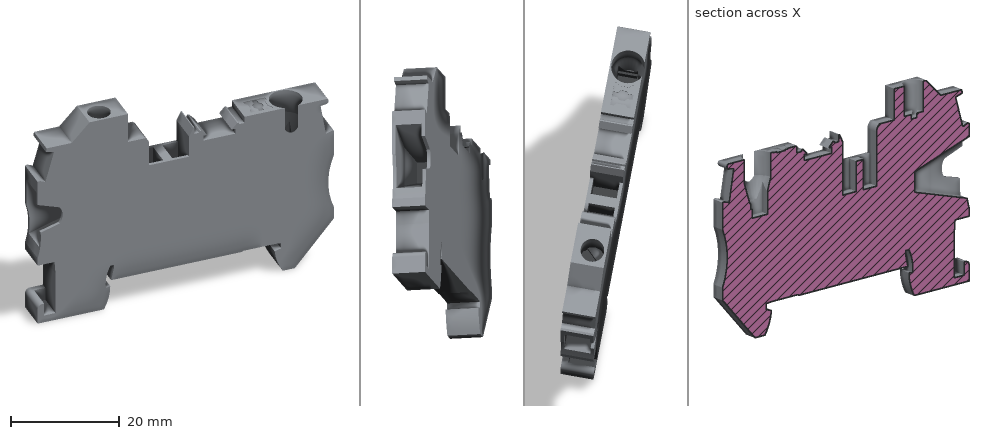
import cadquery as cq

width = 6.2
length = 58.8
height = 41.3
front = -length / 2
back = length / 2

rear_top = 35.2
lip_top = 37.65
trough_floor = 29.15
rail_face = 6.0
hook_top = 33.85
hook_tip = 34.2
hook_underside = 33.05
marker_floor = 32.0

foot_top = 4.05
foot_wall = -25.9
foot_lip_radius = 0.95
foot_lip_thickness = 1.3
foot_groove_start = 1.25
foot_groove_floor = 1.45

trough_front = -7.3
trough_back = 0.65

wall = 0.65

screw_x = 3.5
screw_y = -16.15
screw_diameter = 4.35
screw_depth = 5.9
screw_slot_width = 0.8
screw_slot_depth = 0.9
screw_slot_angle = -45

shaft_x = 3.35
shaft_y = 21.0
shaft_radius = 3.1
shaft_bore_depth = 4.7
shaft_cone_depth = 4.1
shaft_cone_end_radius = 1.8
socket_x = (1.25, 4.95)
socket_y = (18.7, 22.15)
socket_depth = 11.75
socket_ledge_width = 0.4
socket_ledge_depth = 10.0

recess_x = 3.35
recess_y = 15.45
recess_half_width = 1.95
recess_depth = 0.1
recess_core_depth = 0.3

bridge_pocket_length = 3.05
bridge_pocket_depth = 5.9

funnel_bottom = 16.1
funnel_top = 28.1
funnel_depth = 12.95
funnel_straight_depth = 7.65
funnel_end_bottom = 20.1
funnel_end_top = 24.05
funnel_end_x = (1.95, 5.05)

notch_bottom = 19.45
notch_top = 25.75
notch_inner_bottom = 20.7
notch_inner_top = 24.2
notch_depth = 4.35
notch_round_depth = 0.6


def box(x_range, y_range, z_range):
    """Box spanning the given ranges."""
    size = [high - low for low, high in (x_range, y_range, z_range)]
    corner = (x_range[0], y_range[0], z_range[0])
    return cq.Workplane("XY").box(*size, centered=False).translate(corner)


def housing():
    """Side outline of the terminal, extruded over the full width."""
    outline = (
        cq.Workplane("YZ")
        .moveTo(21.65, 0)
        .lineTo(back, 9.0)
        .lineTo(back, 11.45)
        .threePointArc((28.3, 17.15), (back, 22.7))
        .lineTo(back, 28.0)
        .lineTo(29.0, 28.1)
        .lineTo(27.8, 27.7)
        .lineTo(26.75, 34.0)
        .lineTo(28.05, 34.15)
        .threePointArc((28.35, 34.6), (28.1, rear_top))
        .lineTo(11.65, rear_top)
        .lineTo(11.65, hook_top)
        .lineTo(10.65, hook_top)
        .lineTo(10.45, hook_tip)
        .lineTo(10.25, hook_tip)
        .lineTo(9.1, hook_underside)
        .lineTo(9.8, hook_underside)
        .lineTo(9.8, marker_floor)
        .lineTo(3.45, marker_floor)
        .lineTo(3.45, hook_underside)
        .lineTo(4.2, hook_underside)
        .lineTo(3.05, hook_tip)
        .lineTo(2.8, hook_tip)
        .lineTo(2.6, hook_top)
        .lineTo(1.7, hook_top)
        .lineTo(1.7, rear_top)
        .lineTo(1.5, rear_top)
        .lineTo(trough_back, 33.5)
        .lineTo(trough_back, trough_floor)
        .lineTo(trough_front, trough_floor)
        .lineTo(trough_front, 33.65)
        .threePointArc((-7.45, 34.6), (-8.05, rear_top))
        .lineTo(-11.45, rear_top)
        .lineTo(-11.45, height)
        .lineTo(-19.1, height)
        .lineTo(-22.65, lip_top)
        .lineTo(-27.65, lip_top)
        .lineTo(-27.75, 36.85)
        .lineTo(-26.15, 36.45)
        .lineTo(-27.9, 30.4)
        .lineTo(-29.0, 30.85)
        .lineTo(front, 30.75)
        .lineTo(front, 22.65)
        .threePointArc((-28.75, 18.4), (front, 14.2))
        .lineTo(front, 12.6)
        .lineTo(-26.05, 12.6)
        .lineTo(foot_wall, 10.1)
        .lineTo(foot_wall, foot_top)
        .lineTo(front + foot_lip_radius, foot_top)
        .radiusArc((front, foot_top - foot_lip_radius), -foot_lip_radius)
        .lineTo(front, 0)
        .lineTo(-16.2, 0)
        .threePointArc((-15.35, 2.2), (-15.0, 4.75))
        .lineTo(-15.9, 4.6)
        .threePointArc((-15.6, 7.65), (-15.0, 9.2))
        .lineTo(-14.3, 9.2)
        .lineTo(-14.3, 8.4)
        .lineTo(-14.8, rail_face)
        .lineTo(11.25, rail_face)
        .lineTo(11.25, 6.2)
        .lineTo(17.75, 6.2)
        .lineTo(18.95, 6.05)
        .lineTo(18.95, 4.95)
        .lineTo(17.65, 4.6)
        .threePointArc((18.15, 2.2), (19.2, 0))
        .close()
    )
    return outline.extrude(width)


def screw_shaft():
    """Round shaft with a screwdriver slot in the screw head at its bottom."""
    bottom = height - screw_depth
    head = cq.Workplane("XY", origin=(screw_x, screw_y, bottom))
    shaft = head.circle(screw_diameter / 2).extrude(screw_depth)
    slot_limit = head.circle(screw_diameter / 2).extrude(-screw_slot_depth)
    slot = (
        cq.Workplane("XY", origin=(screw_x, screw_y, bottom))
        .transformed(rotate=(0, 0, screw_slot_angle))
        .rect(screw_diameter, screw_slot_width)
        .extrude(-screw_slot_depth)
    )
    return shaft.union(slot.intersect(slot_limit))


def wire_shaft():
    """Stepped wire shaft whose bore breaks out through the right side."""
    bore_bottom = rear_top - shaft_bore_depth
    bore = cq.Workplane("XY", origin=(shaft_x, shaft_y, bore_bottom)).circle(shaft_radius)
    bore = bore.extrude(shaft_bore_depth)
    cone = (
        cq.Workplane("XY", origin=(shaft_x, shaft_y, bore_bottom))
        .circle(shaft_radius)
        .workplane(offset=-shaft_cone_depth)
        .circle(shaft_cone_end_radius)
        .loft()
    )
    socket = box(socket_x, socket_y, (rear_top - socket_depth, bore_bottom))
    ledge_y = (socket_y[1], socket_y[1] + socket_ledge_width)
    ledge = box(socket_x, ledge_y, (rear_top - socket_ledge_depth, bore_bottom))
    return bore.union(cone).union(socket).union(ledge)


def foot_groove():
    """Groove in the front foot behind the lip, open to the right side."""
    y_range = (front + foot_lip_thickness, foot_wall)
    return box((foot_groove_start, width), y_range, (foot_groove_floor, foot_top))


def recess_step(side_y, shoulder_x, middle_x, middle_y, depth):
    """Recess whose front and rear edges shift from side_y to middle_y around the centre."""
    rear_edge = [
        (-recess_half_width, side_y),
        (-shoulder_x, side_y),
        (-middle_x, middle_y),
        (middle_x, middle_y),
        (shoulder_x, side_y),
        (recess_half_width, side_y),
    ]
    front_edge = [(-x, -y) for x, y in rear_edge]
    plane = cq.Workplane("XY", origin=(recess_x, recess_y, rear_top))
    return plane.polyline(rear_edge + front_edge).close().extrude(-depth)


def top_recess():
    """Shallow waisted recess with a deeper band across its middle."""
    waisted = recess_step(side_y=2.2, shoulder_x=1.3, middle_x=0.8, middle_y=1.7, depth=recess_depth)
    core = recess_step(side_y=0.45, shoulder_x=0.95, middle_x=0.5, middle_y=0.95, depth=recess_core_depth)
    return waisted.union(core)


def bridge_pockets():
    """Two rectangular pockets, one at each end of the trough floor."""
    x_range = (wall, width - wall)
    z_range = (trough_floor - bridge_pocket_depth, trough_floor)
    rear = box(x_range, (trough_back - bridge_pocket_length, trough_back), z_range)
    fore = box(x_range, (trough_front, trough_front + bridge_pocket_length), z_range)
    return rear.union(fore)


def funnel_section(depth, x_range, z_range):
    """Rectangular wire of the funnel at a depth behind the front face."""
    y = front + depth
    corners = [
        (x_range[0], y, z_range[0]),
        (x_range[1], y, z_range[0]),
        (x_range[1], y, z_range[1]),
        (x_range[0], y, z_range[1]),
    ]
    return cq.Wire.makePolygon([cq.Vector(*corner) for corner in corners], close=True)


def wire_funnel():
    """Funnel that narrows in height first, then in height and width."""
    x_range = (wall, width - wall)
    share = funnel_straight_depth / funnel_depth
    middle_bottom = funnel_bottom + share * (funnel_end_bottom - funnel_bottom)
    middle_top = funnel_top + share * (funnel_end_top - funnel_top)
    mouth = funnel_section(0, x_range, (funnel_bottom, funnel_top))
    middle = funnel_section(funnel_straight_depth, x_range, (middle_bottom, middle_top))
    end = funnel_section(funnel_depth, funnel_end_x, (funnel_end_bottom, funnel_end_top))
    outer = cq.Workplane(cq.Solid.makeLoft([mouth, middle], True))
    inner = cq.Workplane(cq.Solid.makeLoft([middle, end], True))
    return outer.union(inner)


def side_notch():
    """Tapered notch with a rounded end through the right wall of the funnel."""
    notch_end = front + notch_depth
    notch_middle = (notch_inner_bottom + notch_inner_top) / 2
    return (
        cq.Workplane("YZ", origin=(width - wall, 0, 0))
        .moveTo(front, notch_bottom)
        .lineTo(notch_end, notch_inner_bottom)
        .threePointArc((notch_end + notch_round_depth, notch_middle), (notch_end, notch_inner_top))
        .lineTo(front, notch_top)
        .close()
        .extrude(wall)
    )


result = (
    housing()
    .cut(screw_shaft())
    .cut(wire_shaft())
    .cut(top_recess())
    .cut(foot_groove())
    .cut(bridge_pockets())
    .cut(wire_funnel())
    .cut(side_notch())
)